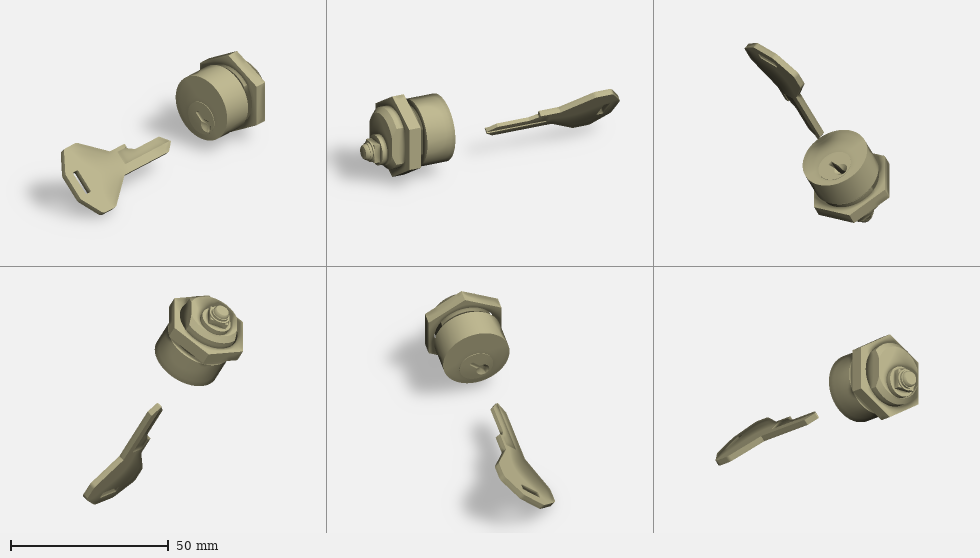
import cadquery as cq
import math


flange_dia = 22.0
flange_length = 9.9
neck_dia = 18.1
neck_length = 1.3
barrel_dia = 20.2
barrel_chamfer = 1.6
housing_length = 21.0
width_over_flats = 16.0

nut_across_flats = 24.0
nut_thickness = 4.1
nut_gap = 2.9

plug_drop = 3.5
plug_head_dia = 11.1
plug_head_depth = 2.0
plug_head_rise = 0.2
plug_shaft_dia = 9.9
plug_shaft_end = 22.8
drive_square = 6.1
drive_end = 24.75
washer_dia = 7.0
washer_end = 25.2
collar_dia = 5.8
collar_end = 26.0
tip_dia = 5.3
tip_end = 27.25
tip_end_dia = 4.2

key_tilt = 45.0
key_thickness = 2.0
key_tip_y = -17.0
key_shoulder_y = -34.05
key_bow_start_y = -41.0
key_end_y = tip_end - 89.4
blade_left_u = -1.0
blade_right_u = 4.8
shank_left_u = -4.0
blade_point_inset = 2.6
blade_point_length = 2.95
ramp_start_y = -31.2
ramp_end_u = -2.5
bow_width = 24.0
bow_centre_u = 0.5
bow_side_start_y = -51.1
bow_side_end_y = -57.0
bow_end_width = 9.3
bow_corner_radius = 2.0
key_hole_width = 8.0
key_hole_height = 2.4
key_hole_y = -57.9
key_hole_radius = 0.45
groove_left_u = -2.8
groove_right_u = 1.9
groove_depth = 0.4
groove_floor_end_y = -36.6
groove_cutter_radius = 5.0

keyway_width = 1.3
keyway_left_u = -2.4
keyway_right_u = 5.0
keyway_depth = key_tip_y - key_shoulder_y
dimple_radius = 2.1
dimple_u = 2.95

key_plane = cq.Plane((0, 0, -plug_drop), (1, 0, 0), (0, 0, 1)).rotated((0, key_tilt, 0))


def section_plane(y, z=0.0):
    """Plane square to the lock axis whose extrusions run toward +Y."""
    return cq.Workplane(cq.Plane((0, y, z), (1, 0, 0), (0, 1, 0)))


def rod(dia, start_y, end_y, z=0.0):
    """Round rod along Y."""
    return section_plane(start_y, z).circle(dia / 2).extrude(end_y - start_y)


def make_housing():
    neck_end = flange_length + neck_length
    neck = rod(neck_dia, flange_length, neck_end)
    barrel = rod(barrel_dia, neck_end, housing_length).faces(">Y").chamfer(barrel_chamfer)
    flats = section_plane(flange_length).rect(width_over_flats, 2 * barrel_dia).extrude(housing_length)
    stem = neck.union(barrel).intersect(flats)
    head_bore = rod(plug_head_dia, 0, plug_head_depth, -plug_drop)
    shaft_bore = rod(plug_shaft_dia, 0, housing_length, -plug_drop)
    return rod(flange_dia, 0, flange_length).union(stem).cut(head_bore).cut(shaft_bore)


def make_nut():
    corner_dia = nut_across_flats / math.cos(math.radians(30))
    hexagon = section_plane(flange_length + nut_gap).polygon(6, corner_dia).extrude(nut_thickness)
    hexagon = hexagon.rotate((0, 0, 0), (0, 1, 0), 30)
    return hexagon.cut(rod(barrel_dia, 0, housing_length))


def make_keyway():
    """Slot for the blade with a conical lead-in dimple around its lower end."""
    length = keyway_right_u - keyway_left_u
    slot = (
        cq.Workplane(key_plane)
        .center((keyway_left_u + keyway_right_u) / 2, (keyway_depth - plug_head_rise) / 2)
        .rect(length, keyway_depth + plug_head_rise)
        .extrude(keyway_width / 2, both=True)
    )
    dimple = (
        cq.Workplane(key_plane)
        .moveTo(dimple_u, -plug_head_rise)
        .lineTo(dimple_u + dimple_radius, -plug_head_rise)
        .lineTo(dimple_u, dimple_radius - plug_head_rise)
        .close()
        .revolve(360, (dimple_u, 0), (dimple_u, 1))
    )
    return slot.union(dimple)


def make_rounded_tip():
    """Domed end of the plug: its side leaves the collar parallel to the axis and curves inward."""
    height = tip_end - collar_end
    narrowing = (tip_dia - tip_end_dia) / 2
    radius = (height**2 + narrowing**2) / (2 * narrowing)
    half_angle = math.asin(height / radius) / 2
    arc_middle = (
        tip_dia / 2 - radius * (1 - math.cos(half_angle)),
        collar_end + radius * math.sin(half_angle),
    )
    return (
        cq.Workplane(cq.Plane((0, 0, -plug_drop), (1, 0, 0), (0, 0, 1)))
        .moveTo(0, collar_end)
        .lineTo(tip_dia / 2, collar_end)
        .threePointArc(arc_middle, (tip_end_dia / 2, tip_end))
        .lineTo(0, tip_end)
        .close()
        .revolve(360, (0, 0), (0, 1))
    )


def make_plug():
    head = rod(plug_head_dia, -plug_head_rise, plug_head_depth, -plug_drop)
    shaft = rod(plug_shaft_dia, plug_head_depth, plug_shaft_end, -plug_drop)
    drive = (
        section_plane(plug_shaft_end, -plug_drop)
        .rect(drive_square, drive_square)
        .extrude(drive_end - plug_shaft_end)
    )
    washer = rod(washer_dia, drive_end, washer_end, -plug_drop)
    collar = rod(collar_dia, washer_end, collar_end, -plug_drop)
    body = head.union(shaft).union(drive).union(washer).union(collar).union(make_rounded_tip())
    return body.cut(make_keyway())


def make_bow():
    side = bow_width / 2
    end = bow_end_width / 2
    outline = [
        (shank_left_u, key_bow_start_y),
        (bow_centre_u - side, bow_side_start_y),
        (bow_centre_u - side, bow_side_end_y),
        (bow_centre_u - end, key_end_y),
        (bow_centre_u + end, key_end_y),
        (bow_centre_u + side, bow_side_end_y),
        (bow_centre_u + side, bow_side_start_y),
        (blade_right_u, key_bow_start_y),
    ]
    bow = cq.Workplane(key_plane).polyline(outline).close().extrude(key_thickness / 2, both=True)
    below_shank = cq.selectors.BoxSelector(
        (-bow_width, key_end_y - 0.9, -bow_width), (bow_width, key_bow_start_y - 0.9, bow_width)
    )
    bow = bow.edges(cq.selectors.ParallelDirSelector(key_plane.zDir)).edges(below_shank)
    return bow.fillet(bow_corner_radius)


def make_blade():
    corner_y = key_tip_y - blade_point_length
    outline = [
        (shank_left_u, key_bow_start_y),
        (shank_left_u, key_shoulder_y),
        (ramp_end_u, key_shoulder_y),
        (blade_left_u, ramp_start_y),
        (blade_left_u, corner_y),
        (blade_left_u + blade_point_inset, key_tip_y),
        (blade_right_u - blade_point_inset, key_tip_y),
        (blade_right_u, corner_y),
        (blade_right_u, key_bow_start_y),
    ]
    return cq.Workplane(key_plane).polyline(outline).close().extrude(key_thickness / 2, both=True)


def make_key_hole():
    return (
        cq.Workplane(key_plane)
        .center(bow_centre_u, key_hole_y)
        .rect(key_hole_width, key_hole_height)
        .extrude(key_thickness, both=True)
        .edges(cq.selectors.ParallelDirSelector(key_plane.zDir))
        .fillet(key_hole_radius)
    )


def make_groove(face):
    """Milled groove on one face of the blade; face is +1 or -1."""
    floor = face * (key_thickness / 2 - groove_depth)
    outer = floor + face * groove_cutter_radius
    profile_plane = cq.Plane(key_plane.toWorldCoords((groove_left_u, 0, 0)), key_plane.yDir, key_plane.xDir)
    bend = groove_cutter_radius * math.sin(math.radians(45))
    return (
        cq.Workplane(profile_plane)
        .moveTo(0, floor)
        .lineTo(groove_floor_end_y, floor)
        .threePointArc(
            (groove_floor_end_y - bend, outer - face * bend),
            (groove_floor_end_y - groove_cutter_radius, outer),
        )
        .lineTo(0, outer)
        .close()
        .extrude(groove_right_u - groove_left_u)
    )


def make_key():
    key = make_blade().union(make_bow()).cut(make_key_hole())
    for face in (1, -1):
        key = key.cut(make_groove(face))
    return key


housing = make_housing()
nut = make_nut()
plug = make_plug()
key = make_key()

result = cq.Compound.makeCompound([housing.val(), nut.val(), plug.val(), key.val()])